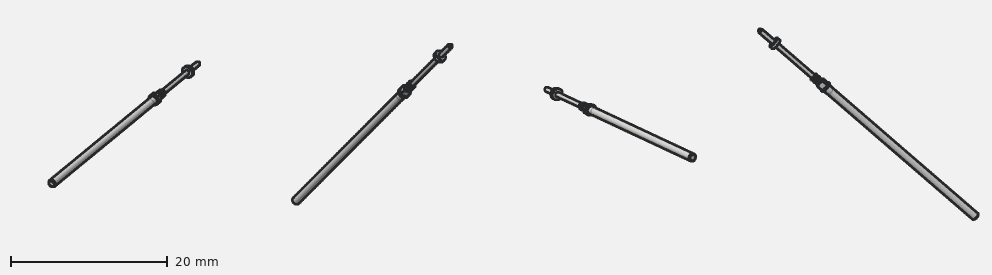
import cadquery as cq

tail_y = -26.0
neck_end_y = -0.8
flange_thickness = 0.2
head_end_y = 2.25
disc_y = 8.6
disc_thickness = 0.5
tip_y = 11.6

flange_radius = 0.72
disc_radius = 0.75
barrel_radius = 0.525
neck_bulge_radius = 0.56
head_radius = 0.5
pin_radius = 0.32

tail_chamfer_length = 0.12
tail_chamfer_depth = 0.15
tip_chamfer_length = 0.25
tip_chamfer_depth = 0.14

groove_depth = 0.06
groove_width = 0.25
groove_pitch = 0.48
groove_count = 2
first_groove_y = 1.855
square_width = 1.04
square_corner_radius = 0.71
square_end_y = 1.15
lead_in_length = 0.2


def cylinder(radius, start_y, end_y):
    """Solid cylinder about the Y axis between two stations."""
    base = cq.Workplane("XZ", origin=(0, start_y, 0))
    return base.circle(radius).extrude(start_y - end_y)


def turned(outline):
    """Full turn of a closed half outline about the Y axis."""
    return outline.revolve(axisStart=(0, 0, 0), axisEnd=(0, 1, 0))


def make_barrel():
    """Barrel with a chamfered tail and a slightly bulged press-fit neck."""
    outline = (
        cq.Workplane("XY")
        .moveTo(0, tail_y)
        .lineTo(barrel_radius - tail_chamfer_depth, tail_y)
        .lineTo(barrel_radius, tail_y + tail_chamfer_length)
        .lineTo(barrel_radius, neck_end_y)
        .threePointArc((neck_bulge_radius, neck_end_y / 2), (barrel_radius, 0))
        .lineTo(0, 0)
        .close()
    )
    return turned(outline)


def make_head():
    """Round head with shallow rounded grooves."""
    outline = cq.Workplane("XY").moveTo(0, 0).lineTo(head_radius, 0)
    for index in reversed(range(groove_count)):
        center_y = first_groove_y - index * groove_pitch
        outline = outline.lineTo(head_radius, center_y - groove_width / 2)
        outline = outline.threePointArc(
            (head_radius - groove_depth, center_y),
            (head_radius, center_y + groove_width / 2),
        )
    outline = outline.lineTo(head_radius, head_end_y).lineTo(0, head_end_y).close()
    return turned(outline)


def make_square_drive():
    """Square section whose corners are turned down and lead in on a cone."""
    blank = cylinder(square_corner_radius, 0, square_end_y)
    lead_in_depth = square_corner_radius - head_radius
    blank = blank.faces(">Y").edges().chamfer(lead_in_length, lead_in_depth)
    square = cq.Workplane("XZ").rect(square_width, square_width).extrude(-square_end_y)
    return blank.intersect(square)


def make_pin():
    """Plunger pin with a conical tip."""
    pin = cylinder(pin_radius, 0, tip_y)
    return pin.faces(">Y").edges().chamfer(tip_chamfer_length, tip_chamfer_depth)


flange = cylinder(flange_radius, 0, flange_thickness)
disc = cylinder(disc_radius, disc_y, disc_y + disc_thickness)

result = (
    make_barrel()
    .union(flange)
    .union(make_square_drive())
    .union(make_head())
    .union(make_pin())
    .union(disc)
)